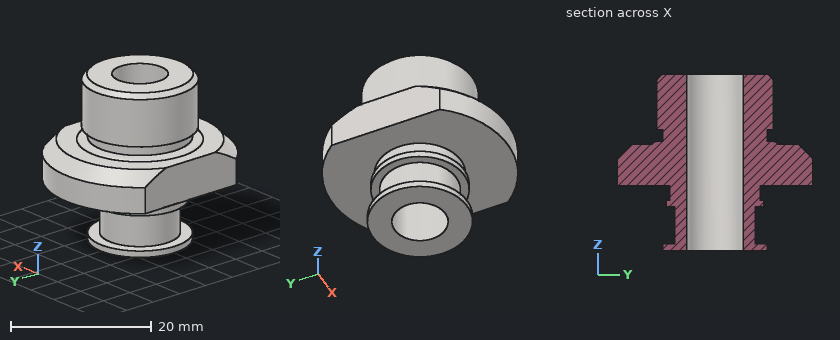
import cadquery as cq
import math

end_lip_diameter = 15.0
shaft_diameter = 11.5
collar_diameter = 14.0
neck_diameter = 13.0
flange_diameter = 27.9
seal_base_diameter = 18.03
seal_flat_diameter = 16.65
undercut_diameter = 15.0
head_diameter = 16.65
bore_diameter = 8.0

end_lip_height = 1.0
shaft_length = 5.2
collar_height = 1.0
neck_length = 2.0
flange_height = 6.0
seal_height = 0.4
undercut_length = 2.0
overall_height = 25.2

flange_width = 22.0
flange_chamfer = 2.0
head_chamfer = 0.75

shaft_bottom = end_lip_height
collar_bottom = shaft_bottom + shaft_length
neck_bottom = collar_bottom + collar_height
flange_bottom = neck_bottom + neck_length
flange_top = flange_bottom + flange_height
head_bottom = flange_top + undercut_length
head_height = overall_height - head_bottom


def cylinder(diameter, bottom, height):
    """Solid cylinder on the Z axis, starting at the given height."""
    return cq.Workplane("XY").workplane(offset=bottom).circle(diameter / 2).extrude(height)


def make_flange():
    """Round flange chamfered on its top rim, then cut by two flats facing -X and +X."""
    disc = cylinder(flange_diameter, flange_bottom, flange_height)
    disc = disc.faces(">Z").edges().chamfer(flange_chamfer)
    flats = (
        cq.Workplane("XY")
        .workplane(offset=flange_bottom)
        .rect(flange_width, flange_diameter)
        .extrude(flange_height)
    )
    return disc.intersect(flats)


def make_seal():
    """Flat-topped seal bead whose rounded shoulder runs level into the flat."""
    flat_radius = seal_flat_diameter / 2
    base_radius = seal_base_diameter / 2
    shoulder_width = base_radius - flat_radius
    round_radius = (shoulder_width**2 + seal_height**2) / (2 * seal_height)

    half_angle = math.asin(shoulder_width / round_radius) / 2
    seal_top = flange_top + seal_height
    middle = (
        flat_radius + round_radius * math.sin(half_angle),
        seal_top - round_radius * (1 - math.cos(half_angle)),
    )
    return (
        cq.Workplane("XZ")
        .moveTo(0, flange_top)
        .lineTo(base_radius, flange_top)
        .threePointArc(middle, (flat_radius, seal_top))
        .lineTo(0, seal_top)
        .close()
        .revolve(360, (0, 0, 0), (0, 1, 0))
    )


def make_head():
    """Cylindrical head with a chamfered top rim."""
    head = cylinder(head_diameter, head_bottom, head_height)
    return head.faces(">Z").edges().chamfer(head_chamfer)


stem = (
    cylinder(end_lip_diameter, 0, end_lip_height)
    .union(cylinder(shaft_diameter, shaft_bottom, shaft_length))
    .union(cylinder(collar_diameter, collar_bottom, collar_height))
    .union(cylinder(neck_diameter, neck_bottom, neck_length))
)

undercut = cylinder(undercut_diameter, flange_top, undercut_length)
body = stem.union(make_flange()).union(make_seal()).union(undercut).union(make_head())

result = body.cut(cylinder(bore_diameter, 0, overall_height))